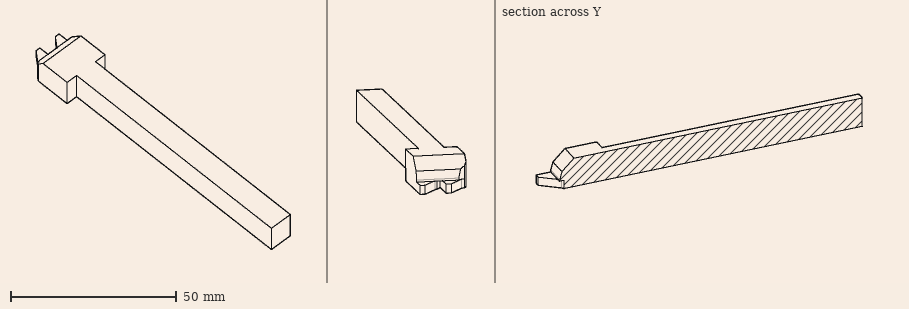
import cadquery as cq

length = 105.0
head_width = 16.0
height = 9.9
head_length = 20.1
shank_width = 8.0

ridge_x = 9.6
brow_x = 5.6
brow_z = 6.1
lip_x = 4.8
lip_z = 3.5

tooth_height = 2.8
tooth_pitch = 8.1
tip_width = 1.6
flank_x = 5.8
root_mid_bend = 0.1
flank_drop = 4.4
root_x = 6.3
root_drop = 0.7
corner_root_drop = 1.0
shoulder_slope = 0.67

blend_start_y = -13.1
blend_mid_x = 5.7
blend_mid_y = -14.0

second_tooth_y = -tooth_pitch
flank_end_y = -tip_width - flank_drop
corner_flank_y = second_tooth_y + flank_end_y
corner_root_y = corner_flank_y - corner_root_drop
corner_x = root_x + (head_width + corner_root_y) / shoulder_slope
gap_root_y = flank_end_y - root_drop
gap_end_x = root_x + (gap_root_y - second_tooth_y) / shoulder_slope


def root_bend(start_y, end_y):
    """Middle point of the shallow concave arc at the foot of a flank."""
    return ((flank_x + root_x) / 2 + root_mid_bend, (start_y + end_y) / 2)


def toothed_plan():
    """Plan of the tooth layer: two teeth, the gap between them and the outer corner."""
    return (
        cq.Workplane("XY")
        .moveTo(head_length, 0)
        .lineTo(0, 0)
        .lineTo(0, -tip_width)
        .lineTo(flank_x, flank_end_y)
        .threePointArc(root_bend(flank_end_y, gap_root_y), (root_x, gap_root_y))
        .lineTo(gap_end_x, second_tooth_y)
        .lineTo(0, second_tooth_y)
        .lineTo(0, second_tooth_y - tip_width)
        .lineTo(flank_x, corner_flank_y)
        .threePointArc(root_bend(corner_flank_y, corner_root_y), (root_x, corner_root_y))
        .lineTo(corner_x, -head_width)
        .lineTo(head_length, -head_width)
        .close()
    )


def upper_plan():
    """Plan of the head above the teeth, with a blended outer corner and no gap."""
    return (
        cq.Workplane("XY")
        .workplane(offset=tooth_height)
        .moveTo(head_length, 0)
        .lineTo(lip_x, 0)
        .lineTo(lip_x, blend_start_y)
        .threePointArc((blend_mid_x, blend_mid_y), (root_x, corner_root_y))
        .lineTo(corner_x, -head_width)
        .lineTo(head_length, -head_width)
        .close()
    )


def nose_profile():
    """Side profile of the head above the teeth, across its full width."""
    return (
        cq.Workplane("XZ")
        .moveTo(head_length, tooth_height)
        .lineTo(lip_x, tooth_height)
        .lineTo(lip_x, lip_z)
        .lineTo(brow_x, brow_z)
        .lineTo(ridge_x, height)
        .lineTo(head_length, height)
        .close()
        .extrude(head_width)
    )


teeth = toothed_plan().extrude(tooth_height)
upper_head = upper_plan().extrude(height - tooth_height).intersect(nose_profile())
shank = (
    cq.Workplane("XY")
    .box(length - head_length, shank_width, height, centered=(False, True, False))
    .translate((head_length, -head_width / 2, 0))
)

result = teeth.union(upper_head).union(shank)